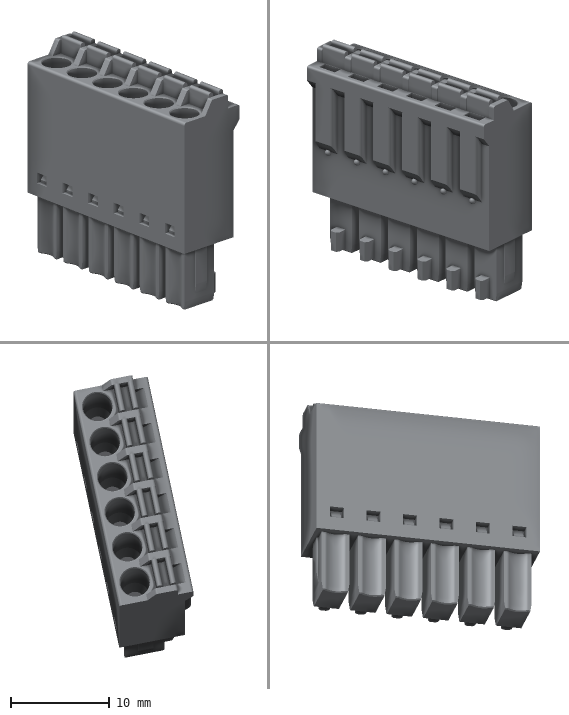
import cadquery as cq
import math

POLES = 6
PITCH = 3.81
END_MARGIN = 2.15
BODY_LENGTH = (POLES - 1) * PITCH + 2 * END_MARGIN
POLE_X = [END_MARGIN + i * PITCH for i in range(POLES)]

BODY_DEPTH = 6.84
LIP_DEPTH = 7.7
SHOULDER_Z = 14.28
LIP_FULL_Z = 12.7
LIP_ROOT_Z = 11.64
FRONT_EDGE_RADIUS = 0.3
BACK_EDGE_RADIUS = 0.25
RIDGE_Z = 15.8
RIDGE_BACK_Y = 6.1
RIDGE_FRONT_Y = 3.86
RIDGE_FOOT_Y = 2.92
RIDGE_BACK_RADIUS = 0.25
RIDGE_FRONT_RADIUS = 0.25

NOTCH_WIDTH = 3.04
LEVER_WIDTH = 2.9
LEVER_FRONT_Y = 4.06
LEVER_BACK_Y = 6.05
LEVER_TOP_Z = 16.25
LEVER_BAR = 0.58
LEVER_TOP_RADIUS = 0.28
LEVER_SLOT_DEPTH = 1.7
LEVER_SLOT_RADIUS = 0.28

WIRE_Y = 2.07
WIRE_MOUTH_DIA = 3.2
WIRE_BORE_DIA = 3.0
WIRE_FLOOR_DIA = 2.0
WIRE_BORE_DEPTH = 5.0
WIRE_CONE_DEPTH = 1.5
WIRE_CHAMFER = (WIRE_MOUTH_DIA - WIRE_BORE_DIA) / 2

DRIVER_WIDTH = 2.1
DRIVER_BACK_Y = 7.1
DRIVER_DEPTH = 1.2

WINDOW_WIDTH = 1.46
WINDOW_BOTTOM_Z = 1.43
WINDOW_HEIGHT = 1.16
WINDOW_DEPTH = 1.0
LATCH_WIDTH = 1.0
LATCH_TIP_Z = 1.46
LATCH_TIP_HEIGHT = 0.32
LATCH_TIP_Y = 0.35

RIB_WIDTH = 2.4
RIB_RADIUS = 0.33
RIB_FULL_Z = 6.27
RIB_ROOT_Z = 5.13
BEAD_RADIUS = 0.35
BEAD_Y = 6.87
BEAD_Z = 5.0

LEG_WIDTH = LEVER_WIDTH
LEG_LENGTH = 6.55
LEG_FRONT_Y = 0.72
LEG_BACK_Y = 4.82
LEG_TAPER_HEIGHT = 0.9
LEG_TAPER = 0.14
LEG_EDGE_CHAMFER = 0.12
GROOVE_MOUTH = 2.24
GROOVE_CHORD = 1.76
GROOVE_ANGLE = math.radians(33)

LUG_WIDTH = 1.1
LUG_BACK_Y = 6.05
LUG_TOP_Z = -4.1
LUG_HEIGHT = 2.13
LUG_CHAMFER = 0.25

GUIDE_FRONT_Y = 2.13
GUIDE_BACK_Y = 3.66
GUIDE_THICKNESS = 0.18
GUIDE_FULL_Z = -4.02
GUIDE_END_Z = -5.08


def box(x_min, x_max, y_min, y_max, z_min, z_max):
    """Box between opposite corners."""
    size = (x_max - x_min, y_max - y_min, z_max - z_min)
    return cq.Workplane("XY").box(*size, centered=False).translate((x_min, y_min, z_min))


def pole_box(x, width, y_min, y_max, z_min, z_max):
    """Box centred on a pole at x."""
    return box(x - width / 2, x + width / 2, y_min, y_max, z_min, z_max)


def pole_prism(x, width, yz_points):
    """Prism with a Y-Z outline, centred on a pole at x."""
    return cq.Workplane("YZ").polyline(yz_points).close().extrude(width).translate((x - width / 2, 0, 0))


def edge_at(y, z):
    """Selector for the lengthwise edge of the housing at (y, z)."""
    reach = 0.05
    return cq.selectors.BoxSelector(
        (0, y - reach, z - reach), (BODY_LENGTH, y + reach, z + reach)
    )


def make_housing():
    profile = [
        (0, 0),
        (BODY_DEPTH, 0),
        (BODY_DEPTH, LIP_ROOT_Z),
        (LIP_DEPTH, LIP_FULL_Z),
        (LIP_DEPTH, SHOULDER_Z),
        (RIDGE_BACK_Y, SHOULDER_Z),
        (RIDGE_BACK_Y, RIDGE_Z),
        (RIDGE_FRONT_Y, RIDGE_Z),
        (RIDGE_FOOT_Y, SHOULDER_Z),
        (0, SHOULDER_Z),
    ]
    housing = cq.Workplane("YZ").polyline(profile).close().extrude(BODY_LENGTH)
    housing = housing.edges(edge_at(0, SHOULDER_Z)).fillet(FRONT_EDGE_RADIUS)
    housing = housing.edges(edge_at(LIP_DEPTH, SHOULDER_Z)).fillet(BACK_EDGE_RADIUS)
    housing = housing.edges(edge_at(RIDGE_BACK_Y, RIDGE_Z)).fillet(RIDGE_BACK_RADIUS)
    return housing.edges(edge_at(RIDGE_FRONT_Y, RIDGE_Z)).fillet(RIDGE_FRONT_RADIUS)


def make_notch(x):
    return pole_box(x, NOTCH_WIDTH, RIDGE_FOOT_Y, RIDGE_BACK_Y, SHOULDER_Z, RIDGE_Z)


def make_lever(x):
    """Block with a round-bottomed slot that leaves two round-topped bars."""
    lever = pole_box(x, LEVER_WIDTH, LEVER_FRONT_Y, LEVER_BACK_Y, SHOULDER_Z, LEVER_TOP_Z)
    slot_front_y = LEVER_FRONT_Y + LEVER_BAR
    slot_back_y = LEVER_BACK_Y - LEVER_BAR
    slot_floor_z = LEVER_TOP_Z - LEVER_SLOT_DEPTH
    slot = pole_box(x, LEVER_WIDTH, slot_front_y, slot_back_y, slot_floor_z, LEVER_TOP_Z)
    slot = slot.edges("|X and <Z").fillet(LEVER_SLOT_RADIUS)
    return lever.cut(slot).faces(">Z").edges("|X").fillet(LEVER_TOP_RADIUS)


def make_wire_entry(x):
    """Chamfered bore that narrows through a cone to a flat floor."""
    mouth_r = WIRE_MOUTH_DIA / 2
    bore_r = WIRE_BORE_DIA / 2
    floor_r = WIRE_FLOOR_DIA / 2
    cone_top_z = SHOULDER_Z - WIRE_BORE_DEPTH
    floor_z = cone_top_z - WIRE_CONE_DEPTH
    half_section = [
        (0, SHOULDER_Z),
        (mouth_r, SHOULDER_Z),
        (bore_r, SHOULDER_Z - WIRE_CHAMFER),
        (bore_r, cone_top_z),
        (floor_r, floor_z),
        (0, floor_z),
    ]
    entry = cq.Workplane("XZ").polyline(half_section).close().revolve(360, (0, 0, 0), (0, 1, 0))
    return entry.translate((x, WIRE_Y, 0))


def make_driver_slot(x):
    """Wedge whose back wall slopes forward and down to the plane of the ridge back."""
    wedge = [
        (RIDGE_BACK_Y, SHOULDER_Z),
        (DRIVER_BACK_Y, SHOULDER_Z),
        (RIDGE_BACK_Y, SHOULDER_Z - DRIVER_DEPTH),
    ]
    return pole_prism(x, DRIVER_WIDTH, wedge)


def make_window(x):
    top_z = WINDOW_BOTTOM_Z + WINDOW_HEIGHT
    return pole_box(x, WINDOW_WIDTH, 0, WINDOW_DEPTH, WINDOW_BOTTOM_Z, top_z)


def make_latch(x):
    """Catch inside a window: a sloping top face above a blunt tip."""
    tip_top_z = LATCH_TIP_Z + LATCH_TIP_HEIGHT
    outline = [
        (WINDOW_DEPTH, LATCH_TIP_Z),
        (LATCH_TIP_Y, LATCH_TIP_Z),
        (LATCH_TIP_Y, tip_top_z),
        (WINDOW_DEPTH, WINDOW_BOTTOM_Z + WINDOW_HEIGHT),
    ]
    return pole_prism(x, LATCH_WIDTH, outline)


def make_rib(x):
    """Back rib with bevelled ends and rounded long edges."""
    outline = [
        (BODY_DEPTH, RIB_ROOT_Z),
        (LIP_DEPTH, RIB_FULL_Z),
        (LIP_DEPTH, LIP_FULL_Z),
        (BODY_DEPTH, LIP_FULL_Z),
    ]
    return pole_prism(x, RIB_WIDTH, outline).edges("|Z and >Y").fillet(RIB_RADIUS)


def make_bead(x):
    """Round bump just below the foot of a rib."""
    return cq.Workplane("XY").sphere(BEAD_RADIUS).translate((x, BEAD_Y, BEAD_Z))


def make_groove():
    """Concave groove blended into the leg front by convex arcs that meet it at the groove angle."""
    half_mouth = GROOVE_MOUTH / 2
    half_chord = GROOVE_CHORD / 2
    blend_width = half_mouth - half_chord
    blend_radius = blend_width / math.sin(GROOVE_ANGLE)
    hollow_radius = half_chord / math.sin(GROOVE_ANGLE)
    blend_end_y = LEG_FRONT_Y + blend_width * math.tan(GROOVE_ANGLE / 2)
    return (
        cq.Workplane("XY")
        .moveTo(-half_mouth, LEG_FRONT_Y)
        .radiusArc((-half_chord, blend_end_y), -blend_radius)
        .radiusArc((half_chord, blend_end_y), hollow_radius)
        .radiusArc((half_mouth, LEG_FRONT_Y), -blend_radius)
        .close()
        .extrude(-LEG_LENGTH)
    )


def make_leg(x):
    """Leg with a tapered tip and a hollow groove down its front."""
    half = LEG_WIDTH / 2
    tip_half = half - LEG_TAPER
    taper_z = LEG_TAPER_HEIGHT - LEG_LENGTH
    outline = [
        (-half, 0),
        (-half, taper_z),
        (-tip_half, -LEG_LENGTH),
        (tip_half, -LEG_LENGTH),
        (half, taper_z),
        (half, 0),
    ]
    leg = cq.Workplane("XZ").polyline(outline).close().extrude(LEG_FRONT_Y - LEG_BACK_Y)
    leg = leg.translate((0, LEG_FRONT_Y, 0)).cut(make_groove())
    return leg.faces("<Z").edges("not |Y").chamfer(LEG_EDGE_CHAMFER).translate((x, 0, 0))


def make_lug(x):
    lug = pole_box(x, LUG_WIDTH, LEG_BACK_Y, LUG_BACK_Y, LUG_TOP_Z - LUG_HEIGHT, LUG_TOP_Z)
    return lug.edges("|Z and >Y").chamfer(LUG_CHAMFER)


def make_guides():
    """Strips on both ends of the leg row, tapering out near the tip."""
    left_x = POLE_X[0] - LEG_WIDTH / 2
    right_x = POLE_X[-1] + LEG_WIDTH / 2
    outline = [
        (left_x - GUIDE_THICKNESS, 0),
        (right_x + GUIDE_THICKNESS, 0),
        (right_x + GUIDE_THICKNESS, GUIDE_FULL_Z),
        (right_x, GUIDE_END_Z),
        (left_x, GUIDE_END_Z),
        (left_x - GUIDE_THICKNESS, GUIDE_FULL_Z),
    ]
    strips = cq.Workplane("XZ").polyline(outline).close().extrude(GUIDE_FRONT_Y - GUIDE_BACK_Y)
    between = box(left_x, right_x, 0, GUIDE_BACK_Y, GUIDE_END_Z, 0)
    return strips.translate((0, GUIDE_FRONT_Y, 0)).cut(between)


CUTTERS = [make_notch, make_wire_entry, make_driver_slot, make_window]
ADDITIONS = [make_lever, make_latch, make_rib, make_bead, make_leg, make_lug]

result = make_housing()
for pole_x in POLE_X:
    for make_cutter in CUTTERS:
        result = result.cut(make_cutter(pole_x))
    for make_addition in ADDITIONS:
        result = result.union(make_addition(pole_x))
result = result.union(make_guides())